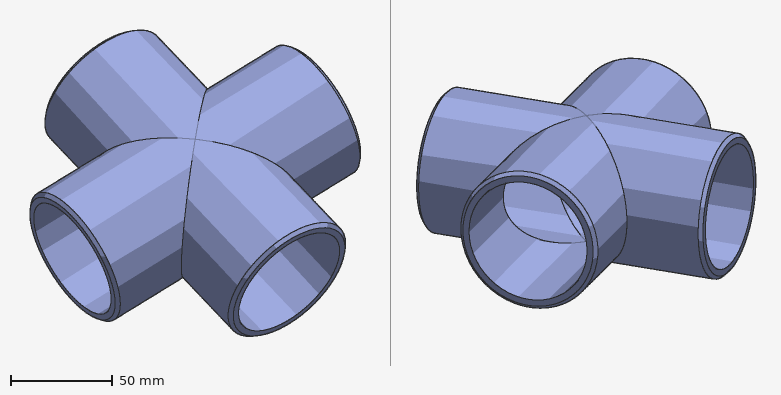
import cadquery as cq

length = 152.4
outer_diameter = 73.0
bore_diameter = 62.8
bevel_length = 1.8
bevel_depth = 1.8


def pipe_body(plane):
    """Solid pipe centred on the origin, bevelled on both outer rims."""
    body = cq.Workplane(plane).circle(outer_diameter / 2).extrude(length / 2, both=True)
    end_faces = "|Y" if plane == "XZ" else "|X"
    return body.faces(end_faces).edges().chamfer(bevel_length, bevel_depth)


def bore(plane):
    """Straight through bore centred on the origin."""
    return cq.Workplane(plane).circle(bore_diameter / 2).extrude(length / 2, both=True)


outside = pipe_body("YZ").union(pipe_body("XZ"))
passages = bore("YZ").union(bore("XZ"))

result = outside.cut(passages)